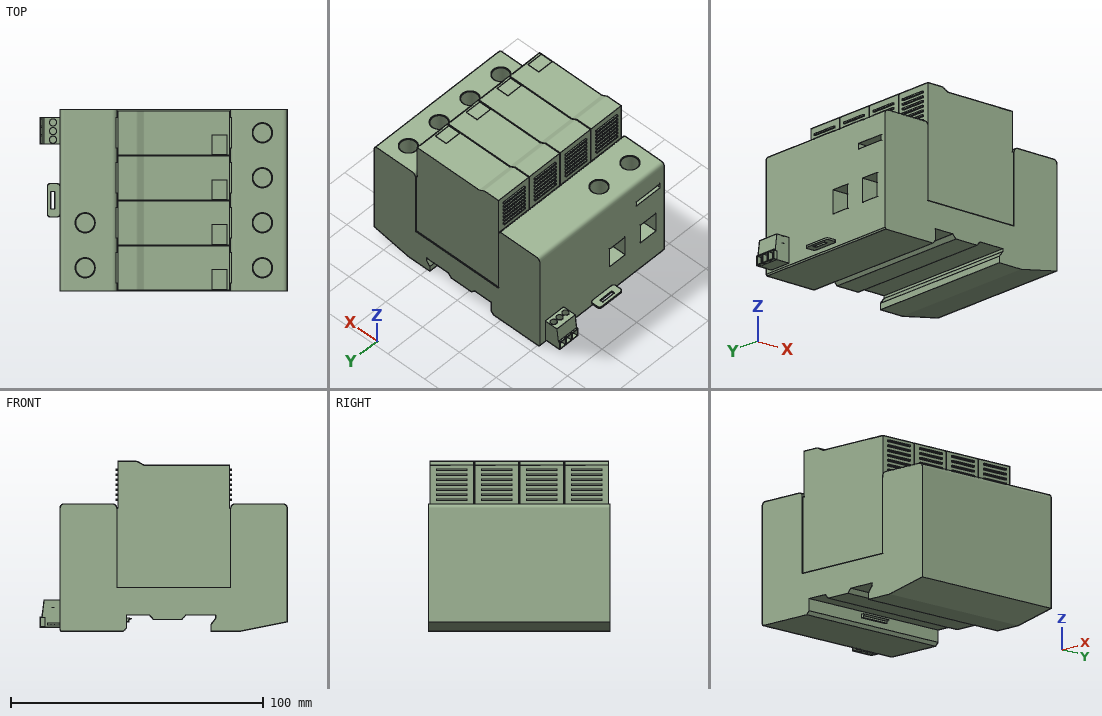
import cadquery as cq

BODY_LENGTH = 90.1
BODY_WIDTH = 72.0
BODY_HEIGHT = 50.5
BODY_TOP_RADIUS = 1.8
FOOT_BEVEL_LENGTH = 0.4
FOOT_BEVEL_HEIGHT = 0.7
TAIL_START_X = 71.5
TAIL_RISE = 3.7

BAY_LEFT = 22.5
BAY_RIGHT = 67.7
BAY_FLOOR = 17.4

RAIL_LEFT = 26.4
RAIL_RIGHT = 61.7
RAIL_DEPTH = 6.4
RAIL_LEAD_IN = 1.4
RAIL_HOOK_REACH = 1.9
RAIL_HOOK_BOTTOM = 2.7
RAIL_HOOK_TOP = 5.2
PAD_LEFT = 35.5
PAD_RIGHT = 49.9
PAD_BOTTOM = 4.6
PAD_SLOPE = 1.7

MODULE_COUNT = 4
MODULE_PITCH = 17.8
MODULE_GAP = 0.4
MODULE_WIDTH = MODULE_PITCH - MODULE_GAP
MODULE_SIDE_STEP = 0.4
MODULE_LEFT = BAY_LEFT + MODULE_SIDE_STEP
MODULE_RIGHT = BAY_RIGHT - MODULE_SIDE_STEP
MODULE_TOP = 67.4
MODULE_DECK = 65.8
MODULE_STEP_Z = BODY_HEIGHT - BODY_TOP_RADIUS
RIDGE_END_X = 30.6
DECK_START_X = 33.4
RIDGE_RADIUS = 1.6
DECK_RADIUS = 0.8

RIB_COUNT = 7
RIB_LOWEST_Z = 52.1
RIB_HIGHEST_Z = 64.1
RIB_PITCH = (RIB_HIGHEST_Z - RIB_LOWEST_Z) / (RIB_COUNT - 1)
RIB_HEIGHT = 0.6
RIB_WIDTH = 12.1
RIB_REACH = 0.7

INDICATOR_LEFT = 60.3
INDICATOR_LENGTH = 5.9
INDICATOR_WIDTH = 7.7
INDICATOR_RIM = 0.2
INDICATOR_DEPTH = 0.1

SCREW_DIAMETER = 7.4
SCREW_CHAMFER = 0.3
SCREW_DEPTH = 14.7
SCREW_LEFT_X = 10.0
SCREW_RIGHT_X = 80.2
ENTRY_WIDTH = 8.9
ENTRY_HEIGHT = 10.2
ENTRY_BOTTOM = 15.0
ENTRY_DEPTH = 11.8
LABEL_SLOT_WIDTH = 13.8
LABEL_SLOT_HEIGHT = 2.35
LABEL_SLOT_BOTTOM = 38.1
LABEL_SLOT_DEPTH = 4.9

TERMINAL_Y = 27.5
POLES_Y = 27.4
TERMINAL_WIDTH = 10.6
TERMINAL_REACH = 7.8
TERMINAL_LEDGE = 0.7
TERMINAL_TOP_REACH = 6.4
TERMINAL_BOTTOM = 1.6
TERMINAL_LEDGE_Z = 5.7
TERMINAL_TOP = 12.4
TERMINAL_LIP = 0.4
POLE_COUNT = 3
POLE_PITCH = 3.4
POLE_SCREW_X = -2.7
POLE_SCREW_DIAMETER = 2.8
POLE_SCREW_DEPTH = 2.9
SOCKET_WIDTH = 2.8
SOCKET_HEIGHT = 3.5
SOCKET_DEPTH = 2.0

TAB_REACH = 5.0
TAB_WIDTH = 13.3
TAB_BOTTOM = 2.5
TAB_THICKNESS = 0.8
TAB_RADIUS = 1.2
TAB_SLOT_X = -2.8
TAB_SLOT_LENGTH = 1.5
TAB_SLOT_WIDTH = 6.8
NOSE_TOP = 5.3
NOSE_TIP_Z = 5.0
NOSE_NECK_Z = 4.5
NOSE_BOTTOM = 3.7
NOSE_REACH = 1.9
NOSE_NECK = 0.9

OVERLAP = 0.5


def box(x_min, x_max, y_center, y_width, z_min, z_max):
    """Axis-aligned block given by its X and Z limits and its Y centre and width."""
    return (
        cq.Workplane("XY")
        .box(x_max - x_min, y_width, z_max - z_min, centered=(False, True, False))
        .translate((x_min, y_center, z_min))
    )


def sweep_across(points, y_center, y_width):
    """Closed XZ outline extruded along Y, centred on y_center."""
    outline = cq.Workplane("XZ", origin=(0, y_center, 0)).polyline(points).close()
    return outline.extrude(y_width / 2, both=True)


def centered_row(count, pitch):
    """Evenly spaced positions, symmetric about zero, in rising order."""
    return [(i - (count - 1) / 2) * pitch for i in range(count)]


MODULE_YS = centered_row(MODULE_COUNT, MODULE_PITCH)
CABLE_SIDE_YS = MODULE_YS[:2]


def make_body():
    body = sweep_across(
        [
            (0, FOOT_BEVEL_HEIGHT),
            (FOOT_BEVEL_LENGTH, 0),
            (RAIL_LEFT - RAIL_LEAD_IN, 0),
            (RAIL_LEFT, RAIL_LEAD_IN),
            (RAIL_LEFT, RAIL_DEPTH),
            (PAD_LEFT, RAIL_DEPTH),
            (PAD_LEFT + PAD_SLOPE, PAD_BOTTOM),
            (PAD_RIGHT - PAD_SLOPE, PAD_BOTTOM),
            (PAD_RIGHT, RAIL_DEPTH),
            (RAIL_RIGHT, RAIL_DEPTH),
            (RAIL_RIGHT, RAIL_HOOK_TOP),
            (RAIL_RIGHT - RAIL_HOOK_REACH, RAIL_HOOK_BOTTOM),
            (RAIL_RIGHT - RAIL_HOOK_REACH, 0),
            (TAIL_START_X, 0),
            (BODY_LENGTH, TAIL_RISE),
            (BODY_LENGTH, BODY_HEIGHT),
            (BAY_RIGHT, BODY_HEIGHT),
            (BAY_RIGHT, BAY_FLOOR),
            (BAY_LEFT, BAY_FLOOR),
            (BAY_LEFT, BODY_HEIGHT),
            (0, BODY_HEIGHT),
        ],
        0,
        BODY_WIDTH,
    )
    return body.faces(">Z").edges("|Y").fillet(BODY_TOP_RADIUS)


def cut_screw_holes(body):
    left = [(SCREW_LEFT_X, y) for y in CABLE_SIDE_YS]
    right = [(SCREW_RIGHT_X, y) for y in MODULE_YS]
    mouth_diameter = SCREW_DIAMETER + 2 * SCREW_CHAMFER
    top = cq.Workplane("XY", origin=(0, 0, BODY_HEIGHT)).pushPoints(left + right)
    shafts = top.circle(SCREW_DIAMETER / 2).extrude(-SCREW_DEPTH)
    mouths = top.circle(mouth_diameter / 2).extrude(-SCREW_CHAMFER, taper=45)
    return body.cut(shafts).cut(mouths)


def cut_wall_openings(body):
    for y in CABLE_SIDE_YS:
        body = body.cut(box(0, ENTRY_DEPTH, y, ENTRY_WIDTH, ENTRY_BOTTOM, ENTRY_BOTTOM + ENTRY_HEIGHT))
    slot_top = LABEL_SLOT_BOTTOM + LABEL_SLOT_HEIGHT
    return body.cut(
        box(0, LABEL_SLOT_DEPTH, MODULE_YS[0], LABEL_SLOT_WIDTH, LABEL_SLOT_BOTTOM, slot_top)
    )


def make_module(y):
    """Plug-in module with a raised cable-side ridge, grip ribs and an indicator window."""
    block = sweep_across(
        [
            (BAY_LEFT, BAY_FLOOR),
            (BAY_RIGHT, BAY_FLOOR),
            (BAY_RIGHT, MODULE_STEP_Z),
            (MODULE_RIGHT, MODULE_STEP_Z),
            (MODULE_RIGHT, MODULE_DECK),
            (DECK_START_X, MODULE_DECK),
            (RIDGE_END_X, MODULE_TOP),
            (MODULE_LEFT, MODULE_TOP),
            (MODULE_LEFT, MODULE_STEP_Z),
            (BAY_LEFT, MODULE_STEP_Z),
        ],
        y,
        MODULE_WIDTH,
    )
    block = block.edges(cq.NearestToPointSelector((RIDGE_END_X, y, MODULE_TOP))).fillet(RIDGE_RADIUS)
    block = block.edges(cq.NearestToPointSelector((DECK_START_X, y, MODULE_DECK))).fillet(DECK_RADIUS)

    for i in range(RIB_COUNT):
        z_min = RIB_LOWEST_Z + i * RIB_PITCH - RIB_HEIGHT / 2
        z_max = z_min + RIB_HEIGHT
        block = block.union(
            box(MODULE_LEFT - RIB_REACH, MODULE_LEFT + OVERLAP, y, RIB_WIDTH, z_min, z_max)
        )
        block = block.union(
            box(MODULE_RIGHT - OVERLAP, MODULE_RIGHT + RIB_REACH, y, RIB_WIDTH, z_min, z_max)
        )

    indicator_y = y - MODULE_WIDTH / 2 + INDICATOR_RIM + INDICATOR_WIDTH / 2
    indicator_right = INDICATOR_LEFT + INDICATOR_LENGTH
    return block.cut(
        box(
            INDICATOR_LEFT, indicator_right, indicator_y, INDICATOR_WIDTH,
            MODULE_DECK - INDICATOR_DEPTH, MODULE_DECK,
        )
    )


def make_terminal():
    terminal = sweep_across(
        [
            (OVERLAP, TERMINAL_BOTTOM),
            (-TERMINAL_REACH, TERMINAL_BOTTOM),
            (-TERMINAL_REACH, TERMINAL_LEDGE_Z),
            (-TERMINAL_REACH + TERMINAL_LEDGE, TERMINAL_LEDGE_Z),
            (-TERMINAL_TOP_REACH, TERMINAL_TOP - TERMINAL_LIP),
            (-TERMINAL_TOP_REACH, TERMINAL_TOP),
            (OVERLAP, TERMINAL_TOP),
        ],
        TERMINAL_Y,
        TERMINAL_WIDTH,
    )
    socket_z = (TERMINAL_BOTTOM + TERMINAL_LEDGE_Z) / 2
    for offset in centered_row(POLE_COUNT, POLE_PITCH):
        y = POLES_Y + offset
        screw = (
            cq.Workplane("XY", origin=(POLE_SCREW_X, y, TERMINAL_TOP))
            .circle(POLE_SCREW_DIAMETER / 2)
            .extrude(-POLE_SCREW_DEPTH)
        )
        socket = box(
            -TERMINAL_REACH, -TERMINAL_REACH + SOCKET_DEPTH, y, SOCKET_WIDTH,
            socket_z - SOCKET_HEIGHT / 2, socket_z + SOCKET_HEIGHT / 2,
        )
        terminal = terminal.cut(screw).cut(socket)
    return terminal


def make_clip_tab():
    tab_top = TAB_BOTTOM + TAB_THICKNESS
    tab = box(-TAB_REACH, 0, 0, TAB_WIDTH, TAB_BOTTOM, tab_top).edges("|Z").fillet(TAB_RADIUS)
    slot_left = TAB_SLOT_X - TAB_SLOT_LENGTH / 2
    return tab.cut(
        box(slot_left, slot_left + TAB_SLOT_LENGTH, 0, TAB_SLOT_WIDTH, TAB_BOTTOM, tab_top)
    )


def make_clip_nose():
    return sweep_across(
        [
            (RAIL_LEFT - OVERLAP, NOSE_BOTTOM),
            (RAIL_LEFT + NOSE_NECK, NOSE_BOTTOM),
            (RAIL_LEFT + NOSE_NECK, NOSE_NECK_Z),
            (RAIL_LEFT + NOSE_REACH, NOSE_TIP_Z),
            (RAIL_LEFT + NOSE_NECK, NOSE_TOP),
            (RAIL_LEFT - OVERLAP, NOSE_TOP),
        ],
        0,
        TAB_WIDTH,
    )


part = cut_wall_openings(cut_screw_holes(make_body()))
for module_y in MODULE_YS:
    part = part.union(make_module(module_y))
result = part.union(make_terminal()).union(make_clip_tab()).union(make_clip_nose())